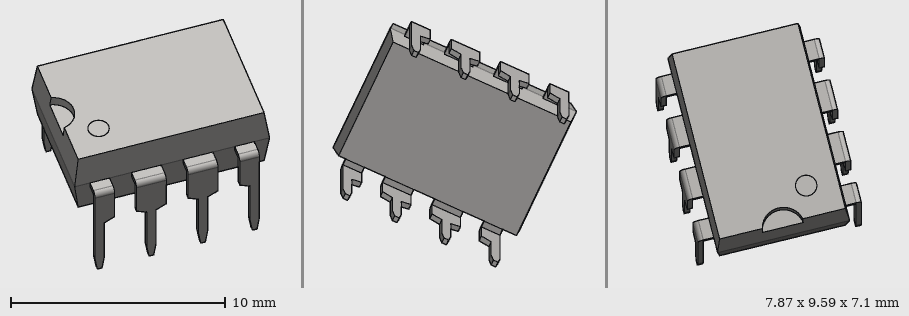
import cadquery as cq


body_length = 9.59
body_width = 6.36
body_half_height = 1.72
side_inset = 0.15
end_inset = 0.22

notch_radius = 1.0
notch_depth = 0.51
dot_diameter = 1.0
dot_x = 1.52
dot_y = -3.07
dot_depth = 0.01

lead_span = 7.87
lead_drop = 5.38
lead_thickness = 0.26
lead_pitch = 2.54
blade_width = 0.46
shoulder_width = 1.47
shoulder_bottom = 1.94
shoulder_taper = 0.26
tip_width = 0.23
tip_length = 0.77
lead_embed = 0.29


def body_half(height):
    """Tapered half of the body, from the parting plane to the given height."""
    top_width = body_width - 2 * side_inset
    top_length = body_length - 2 * end_inset
    return (
        cq.Workplane("XY")
        .rect(body_width, body_length)
        .workplane(offset=height)
        .rect(top_width, top_length)
        .loft(ruled=True)
    )


def top_recess(x, y, radius, depth):
    """Round cutter that sinks to the given depth below the top face."""
    return (
        cq.Workplane("XY", origin=(x, y, body_half_height - depth))
        .circle(radius)
        .extrude(depth)
    )


def lead_strip():
    """Bent strip of the +X leads: flat at the body, then straight down."""
    outer_x = lead_span / 2
    inner_x = outer_x - lead_thickness
    root_x = body_width / 2 - lead_embed
    return (
        cq.Workplane("XZ")
        .moveTo(root_x, 0)
        .lineTo(inner_x, 0)
        .radiusArc((outer_x, -lead_thickness), lead_thickness)
        .lineTo(outer_x, -lead_drop)
        .lineTo(inner_x, -lead_drop)
        .lineTo(inner_x, -lead_thickness)
        .lineTo(root_x, -lead_thickness)
        .close()
        .extrude(body_length / 2, both=True)
    )


def lead_outline(center_y, shoulder_left, shoulder_right):
    """Lead silhouette in YZ, with a shoulder reach on each side of its centre."""
    half_blade = blade_width / 2
    half_tip = tip_width / 2
    tip_top = tip_length - lead_drop
    points = [(-shoulder_left, 0), (shoulder_right, 0)]
    if shoulder_right > half_blade:
        points.append((shoulder_right, -shoulder_bottom))
        points.append((half_blade, -shoulder_bottom - shoulder_taper))
    points += [
        (half_blade, tip_top),
        (half_tip, -lead_drop),
        (-half_tip, -lead_drop),
        (-half_blade, tip_top),
    ]
    if shoulder_left > half_blade:
        points.append((-half_blade, -shoulder_bottom - shoulder_taper))
        points.append((-shoulder_left, -shoulder_bottom))
    return (
        cq.Workplane("YZ", origin=(0, center_y, 0))
        .polyline(points)
        .close()
        .extrude(lead_span / 2)
    )


def lead_row():
    """Four leads on the +X side; the end leads have a shoulder only inward."""
    half_blade = blade_width / 2
    half_shoulder = shoulder_width / 2
    end_y = 1.5 * lead_pitch
    middle_y = 0.5 * lead_pitch
    outlines = (
        lead_outline(-end_y, half_blade, half_shoulder)
        .union(lead_outline(-middle_y, half_shoulder, half_shoulder))
        .union(lead_outline(middle_y, half_shoulder, half_shoulder))
        .union(lead_outline(end_y, half_shoulder, half_blade))
    )
    return lead_strip().intersect(outlines)


body = body_half(body_half_height).union(body_half(-body_half_height))
body = body.cut(top_recess(0, -body_length / 2, notch_radius, notch_depth))
body = body.cut(top_recess(dot_x, dot_y, dot_diameter / 2, dot_depth))

right_leads = lead_row()
left_leads = right_leads.mirror("YZ")

result = body.union(right_leads).union(left_leads)